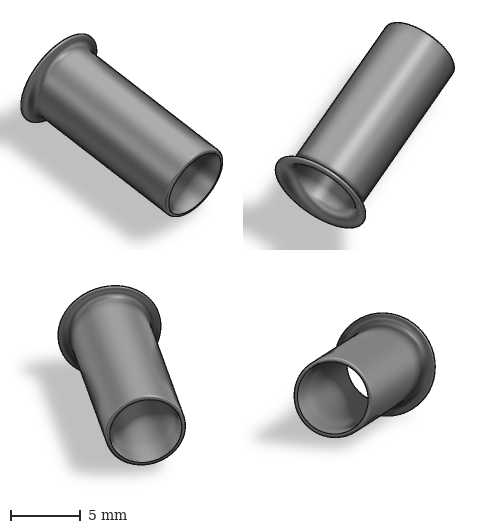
import cadquery as cq
import math

length = 14.0
flange_diameter = 7.5
tube_diameter = 5.85
wall = 0.3
flare_inner_radius = 0.9
rim_round = 0.1
end_round = 0.2

flange_radius = flange_diameter / 2
tube_radius = tube_diameter / 2
bore_radius = tube_radius - wall
flare_outer_radius = flare_inner_radius - wall

flare_x = flare_inner_radius
flare_r = bore_radius + flare_inner_radius
diagonal = math.sqrt(0.5)


def flare_middle(radius):
    """Point halfway along a flare arc of the given bend radius."""
    return (flare_x - radius * diagonal, flare_r - radius * diagonal)


def quarter_middle(center_x, center_r, radius, x_side):
    """Middle of a convex outer quarter round facing -X (-1) or +X (+1)."""
    return (center_x + x_side * radius * diagonal, center_r + radius * diagonal)


section = (
    cq.Workplane("XY")
    .moveTo(length, bore_radius)
    .lineTo(flare_x, bore_radius)
    .threePointArc(flare_middle(flare_inner_radius), (0, flare_r))
    .lineTo(0, flange_radius - rim_round)
    .threePointArc(
        quarter_middle(rim_round, flange_radius - rim_round, rim_round, -1),
        (rim_round, flange_radius),
    )
    .lineTo(wall - rim_round, flange_radius)
    .threePointArc(
        quarter_middle(wall - rim_round, flange_radius - rim_round, rim_round, 1),
        (wall, flange_radius - rim_round),
    )
    .lineTo(wall, flare_r)
    .threePointArc(flare_middle(flare_outer_radius), (flare_x, tube_radius))
    .lineTo(length - end_round, tube_radius)
    .threePointArc(
        quarter_middle(length - end_round, tube_radius - end_round, end_round, 1),
        (length, tube_radius - end_round),
    )
    .close()
)

result = section.revolve(360, (0, 0, 0), (1, 0, 0))